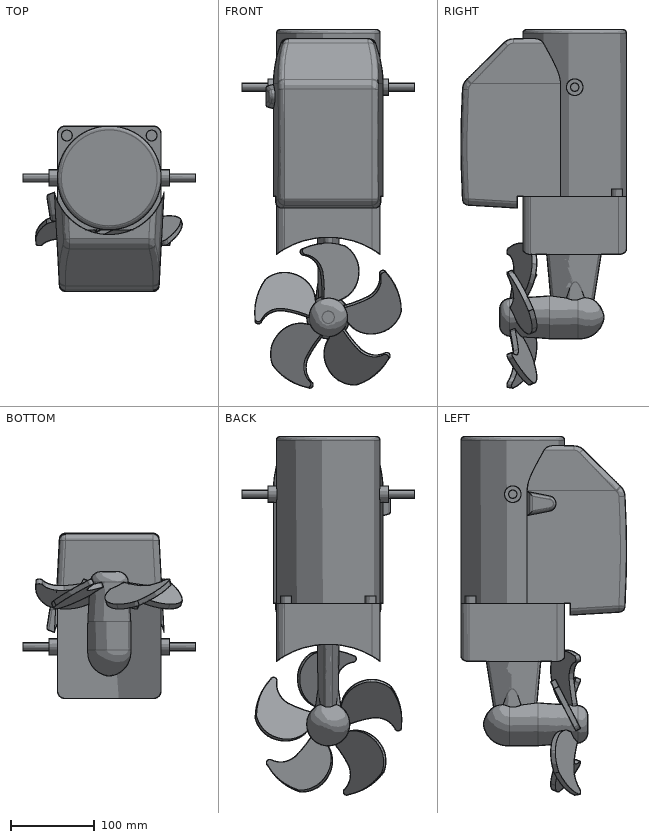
import cadquery as cq
import math


TOLERANCE = 0.5

MOTOR_DIA = 125.0
MOTOR_HEIGHT = 201.0
MOTOR_TOP_ROUND = 4.8
BLOCK_SIDE = MOTOR_DIA
BLOCK_HEIGHT = 70.0
BLOCK_CORNER_R = 9.5
ARCH_RISE = 20.8
BOLT_DIA = 13.0
BOLT_HEIGHT = 8.5
BOLT_OFFSET = 51.0

SHAFT_DIA = 10.0
SHAFT_SPAN = 208.0
SHAFT_BOSS_DIA = 20.0
SHAFT_BOSS_SPAN = 145.5
SHAFT_Z = 131.5

COWL_FRONT_Y = -135.0
COWL_FRONT_BULGE = 2.0
COWL_TOP_Z = 190.0
COWL_BEND_Z = 135.8
COWL_BOTTOM_Z = -14.3
COWL_FRONT_BOTTOM_Z = -10.5
COWL_SLOPE_TOP_Y = -80.5
COWL_HALF_WIDTH = 67.0
COWL_FRONT_HALF_WIDTH = 59.5
COWL_TOP_INSET = 10.0
COWL_FRONT_LIMIT_Y = COWL_FRONT_Y - 2 * COWL_FRONT_BULGE
COWL_BORE_R = 68.5
COWL_EDGE_ROUND = 7.8
COWL_BEND_ROUND = 17.5
COWL_STEP_Y = -69.0

OUTLET_BASE_X = 64.0
OUTLET_DEPTH = 12.0
OUTLET_REAR_Y = -16.5
OUTLET_LENGTH = 36.5
OUTLET_Z = 120.0
OUTLET_REAR_HEIGHT = 30.3
OUTLET_END_R = 10.5
OUTLET_DRAFT = 12
OUTLET_LEAN = 9
OUTLET_ROUND = 3.5

POD_Z = -145.7
POD_R = 26.0
POD_REAR_Y = 35.5
POD_FULL_REAR_Y = 4.0
POD_FULL_FRONT_Y = -30.3
HUB_R = 23.0
HUB_NOSE_Y = -78.3
HUB_FRONT_Y = -90.5
HUB_FACE_R = 7.5
STRUT_TOP_HALF_LENGTH = 36.5
STRUT_BASE_HALF_LENGTH = 23.5
STRUT_TOP_HALF_WIDTH = 13.5
STRUT_BASE_HALF_WIDTH = 11.5
STRUT_NOSE_LENGTH = 3.0
STRUT_NOSE_HALF_WIDTH = 5.0
STRUT_BASE_Y = -3.5
STRUT_TOP_Z = -43.2
COLLAR_TOP_Z = -103.0
COLLAR_TOP_DIA = 24.5
COLLAR_BASE_DIA = 37.0

BLADE_COUNT = 5
BLADE_PITCH = 27.2
BLADE_THICKNESS = 6.5
BLADE_PLANE_Y = -79.0


def cylinder_x(diameter, span, z):
    return cq.Workplane("YZ").center(0, z).circle(diameter / 2).extrude(span / 2, both=True)


def make_motor():
    motor = cq.Workplane("XY").circle(MOTOR_DIA / 2).extrude(MOTOR_HEIGHT)
    motor = motor.faces(">Z").edges().fillet(MOTOR_TOP_ROUND)
    motor = motor.union(cylinder_x(SHAFT_BOSS_DIA, SHAFT_BOSS_SPAN, SHAFT_Z))
    return motor.union(cylinder_x(SHAFT_DIA, SHAFT_SPAN, SHAFT_Z))


def make_block():
    block = cq.Workplane("XY").rect(BLOCK_SIDE, BLOCK_SIDE).extrude(-BLOCK_HEIGHT)
    block = block.edges("|Z").fillet(BLOCK_CORNER_R)
    half = BLOCK_SIDE / 2
    arch = (
        cq.Workplane("XZ")
        .moveTo(-half, -BLOCK_HEIGHT)
        .threePointArc((0, ARCH_RISE - BLOCK_HEIGHT), (half, -BLOCK_HEIGHT))
        .close()
        .extrude(BLOCK_SIDE, both=True)
    )
    bolts = (
        cq.Workplane("XY")
        .pushPoints([(-BOLT_OFFSET, BOLT_OFFSET), (BOLT_OFFSET, BOLT_OFFSET)])
        .circle(BOLT_DIA / 2)
        .extrude(BOLT_HEIGHT)
    )
    return block.cut(arch).union(bolts)


def cowl_outline(workplane, half_width):
    rise = COWL_TOP_Z - COWL_BEND_Z
    radius = (rise**2 + COWL_TOP_INSET**2) / (2 * COWL_TOP_INSET)
    half_sweep = math.asin(rise / radius) / 2
    mid_x = half_width - radius * (1 - math.cos(half_sweep))
    mid_z = COWL_BEND_Z + radius * math.sin(half_sweep)
    top_x = half_width - COWL_TOP_INSET
    return (
        workplane
        .moveTo(-half_width, -BLOCK_HEIGHT)
        .lineTo(half_width, -BLOCK_HEIGHT)
        .lineTo(half_width, COWL_BEND_Z)
        .threePointArc((mid_x, mid_z), (top_x, COWL_TOP_Z))
        .lineTo(-top_x, COWL_TOP_Z)
        .threePointArc((-mid_x, mid_z), (-half_width, COWL_BEND_Z))
        .close()
    )


def is_rounded_cowl_edge(edge):
    center = edge.Center()
    on_rear_rim = abs(center.y) < TOLERANCE
    on_side_bend = abs(center.z - COWL_BEND_Z) < TOLERANCE
    crosses_middle = abs(center.x) < TOLERANCE
    at_front_bottom = (
        abs(center.y - COWL_FRONT_Y) < TOLERANCE
        and abs(center.z - COWL_FRONT_BOTTOM_Z) < TOLERANCE
    )
    on_profile_side = not (on_rear_rim or on_side_bend or crosses_middle)
    return on_profile_side or at_front_bottom


def make_cowl():
    middle_z = (COWL_BEND_Z + COWL_BOTTOM_Z) / 2
    profile = (
        cq.Workplane("YZ")
        .moveTo(0, COWL_TOP_Z)
        .lineTo(COWL_SLOPE_TOP_Y, COWL_TOP_Z)
        .lineTo(COWL_FRONT_Y, COWL_BEND_Z)
        .threePointArc((COWL_FRONT_Y - COWL_FRONT_BULGE, middle_z), (COWL_FRONT_Y, COWL_FRONT_BOTTOM_Z))
        .lineTo(COWL_STEP_Y, COWL_BOTTOM_Z)
        .lineTo(0, COWL_BOTTOM_Z)
        .close()
        .extrude(MOTOR_DIA, both=True)
    )
    for corner in [(0, COWL_SLOPE_TOP_Y, COWL_TOP_Z), (0, COWL_FRONT_Y, COWL_BEND_Z)]:
        profile = profile.edges(cq.NearestToPointSelector(corner)).fillet(COWL_BEND_ROUND)
    sides = (
        cowl_outline(cq.Workplane("XZ"), COWL_HALF_WIDTH)
        .workplane(offset=-COWL_FRONT_LIMIT_Y)
    )
    sides = cowl_outline(sides, COWL_FRONT_HALF_WIDTH).loft(ruled=True)
    cowl = profile.intersect(sides)
    return cowl.edges().filter(is_rounded_cowl_edge).fillet(COWL_EDGE_ROUND)


def make_outlet():
    lean = math.radians(OUTLET_LEAN)
    base_face = cq.Plane(
        origin=(-OUTLET_BASE_X, OUTLET_REAR_Y, OUTLET_Z),
        xDir=(math.sin(lean), -math.cos(lean), 0),
        normal=(-math.cos(lean), -math.sin(lean), 0),
    )
    half_rear = OUTLET_REAR_HEIGHT / 2
    end_x = OUTLET_LENGTH - OUTLET_END_R
    closing = math.atan2(half_rear, end_x) - math.asin(OUTLET_END_R / math.hypot(half_rear, end_x))
    tangent_x = end_x + OUTLET_END_R * math.sin(closing)
    tangent_y = OUTLET_END_R * math.cos(closing)
    outlet = (
        cq.Workplane(base_face)
        .moveTo(0, -half_rear)
        .lineTo(tangent_x, -tangent_y)
        .threePointArc((OUTLET_LENGTH, 0), (tangent_x, tangent_y))
        .lineTo(0, half_rear)
        .close()
        .extrude(OUTLET_DEPTH, taper=OUTLET_DRAFT)
    )
    rounding_start_y = OUTLET_REAR_Y - OUTLET_ROUND
    outer_edges = outlet.faces("<X").edges()
    return outer_edges.filter(lambda edge: edge.Center().y < rounding_start_y).fillet(OUTLET_ROUND)


def strut_section(workplane, half_length, half_width):
    side_end = half_length - STRUT_NOSE_LENGTH
    return (
        workplane
        .moveTo(STRUT_NOSE_HALF_WIDTH, -side_end)
        .threePointArc((half_width, 0), (STRUT_NOSE_HALF_WIDTH, side_end))
        .threePointArc((0, half_length), (-STRUT_NOSE_HALF_WIDTH, side_end))
        .threePointArc((-half_width, 0), (-STRUT_NOSE_HALF_WIDTH, -side_end))
        .threePointArc((0, -half_length), (STRUT_NOSE_HALF_WIDTH, -side_end))
        .close()
    )


def make_strut():
    top = cq.Workplane("XY").workplane(offset=STRUT_TOP_Z)
    strut = strut_section(top, STRUT_TOP_HALF_LENGTH, STRUT_TOP_HALF_WIDTH)
    base = strut.workplane(offset=POD_Z - STRUT_TOP_Z).center(0, STRUT_BASE_Y)
    strut = strut_section(base, STRUT_BASE_HALF_LENGTH, STRUT_BASE_HALF_WIDTH).loft(ruled=True)
    collar = (
        cq.Workplane("XY")
        .workplane(offset=POD_Z)
        .circle(COLLAR_BASE_DIA / 2)
        .workplane(offset=COLLAR_TOP_Z - POD_Z)
        .circle(COLLAR_TOP_DIA / 2)
        .loft(ruled=True)
    )
    return strut.union(collar)


def make_pod():
    tail_mid = math.sin(math.radians(45))
    tail_length = POD_REAR_Y - POD_FULL_REAR_Y
    tail_point = (POD_R * tail_mid, POD_FULL_REAR_Y + tail_length * tail_mid)
    pod = (
        cq.Workplane("XY")
        .moveTo(0, POD_REAR_Y)
        .threePointArc(tail_point, (POD_R, POD_FULL_REAR_Y))
        .lineTo(POD_R, POD_FULL_FRONT_Y)
        .lineTo(HUB_R, HUB_NOSE_Y)
        .tangentArcPoint((HUB_FACE_R, HUB_FRONT_Y), relative=False)
        .lineTo(0, HUB_FRONT_Y)
        .close()
        .revolve(360, (0, 0, 0), (0, 1, 0))
    )
    return pod.translate((0, 0, POD_Z))


def make_blade():
    pitch = math.radians(BLADE_PITCH)
    plane = cq.Plane(
        origin=(0, BLADE_PLANE_Y, 0),
        xDir=(1, 0, 0),
        normal=(0, math.cos(pitch), -math.sin(pitch)),
    )
    return (
        cq.Workplane(plane)
        .moveTo(-15.5, -26.0)
        .threePointArc((-28.5, -51.5), (-50.5, -61.0))
        .threePointArc((-66.0, -58.0), (-75.5, -51.5))
        .threePointArc((-86.0, -27.5), (-88.0, 1.0))
        .threePointArc((-84.8, 5.5), (-80.5, 3.0))
        .threePointArc((-72.5, -7.0), (-54.5, -12.0))
        .threePointArc((-39.8, -8.5), (-25.5, -3.5))
        .lineTo(-13.0, 0)
        .close()
        .extrude(BLADE_THICKNESS)
    )


def make_propeller():
    blade = make_blade()
    propeller = blade
    for index in range(1, BLADE_COUNT):
        propeller = propeller.union(blade.rotate((0, 0, 0), (0, 1, 0), index * 360 / BLADE_COUNT))
    return propeller.translate((0, 0, POD_Z))


def fit_cowl_to_motor(cowl):
    bore = (
        cq.Workplane("XY")
        .workplane(offset=-BLOCK_HEIGHT)
        .circle(COWL_BORE_R)
        .extrude(BLOCK_HEIGHT + MOTOR_HEIGHT)
    )
    block_room = cq.Workplane("XY").rect(2 * BLOCK_SIDE, -2 * COWL_STEP_Y).extrude(-BLOCK_HEIGHT)
    return cowl.cut(bore).cut(block_room)


cowl_with_outlet = make_cowl().union(make_outlet())

result = (
    make_motor()
    .union(make_block())
    .union(fit_cowl_to_motor(cowl_with_outlet))
    .union(make_strut())
    .union(make_pod())
    .union(make_propeller())
)